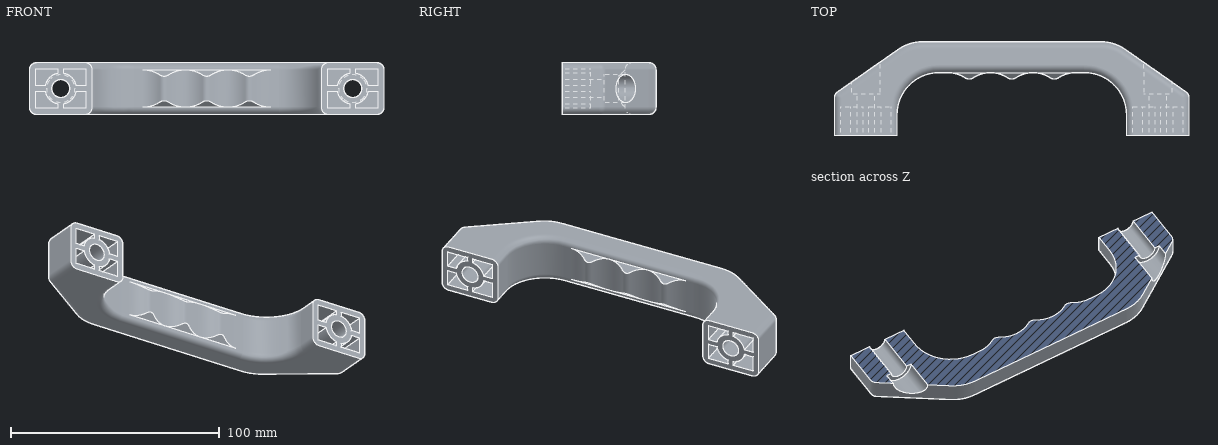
import cadquery as cq
import math

length = 170.0
depth = 45.0
height = 25.0
foot_width = 30.1
bar_thickness = 15.0

shoulder_height = 19.9
shoulder_angle = 35.0
bend_radius = 20.0
edge_radius = 3.5

hole_diameter = 8.5
counterbore_diameter = 13.5
counterbore_floor = shoulder_height

wall = 3.0
rib = 2.7
hub_diameter = 15.0
hollow_depth = 13.6

ridge_count = 3
ridge_pitch = 20.4
valley_radius = 15.0
crest_radius = 3.5

half_length = length / 2
half_opening = half_length - foot_width
half_bar = half_length - (depth - shoulder_height) / math.tan(math.radians(shoulder_angle))
bar_underside = depth - bar_thickness
foot_centers = [side * (half_length - foot_width / 2) for side in (-1, 1)]


def make_body():
    """Bridge-shaped bar with rounded bends and rounded long edges."""
    body = (
        cq.Workplane("XY")
        .workplane(offset=-height / 2)
        .moveTo(-half_length, 0)
        .lineTo(-half_length, shoulder_height)
        .lineTo(-half_bar, depth)
        .lineTo(half_bar, depth)
        .lineTo(half_length, shoulder_height)
        .lineTo(half_length, 0)
        .lineTo(half_opening, 0)
        .lineTo(half_opening, bar_underside)
        .lineTo(-half_opening, bar_underside)
        .lineTo(-half_opening, 0)
        .close()
        .extrude(height)
    )
    bends = [
        (side * x, y, 0)
        for side in (-1, 1)
        for x, y in ((half_bar, depth), (half_opening, bar_underside))
    ]
    for bend in bends:
        body = body.edges(cq.selectors.NearestToPointSelector(bend)).fillet(bend_radius)

    tolerance = 0.2
    long_edges = body.faces("<Z or >Z").edges().vals()
    long_edges = [edge for edge in long_edges if edge.Center().y > tolerance]
    corners = [
        edge
        for edge in body.edges("|Z").vals()
        if abs(edge.Center().y - shoulder_height) < tolerance
    ]
    return body.newObject(long_edges + corners).fillet(edge_radius)


def make_ridges():
    """Row of rounded finger ridges whose ends slope in at 45 degrees."""
    half_pitch = ridge_pitch / 2
    flank_angle = math.asin(half_pitch / (valley_radius + crest_radius))
    crest_height = (valley_radius + crest_radius) * (1 - math.cos(flank_angle))
    join_x = crest_radius * math.sin(flank_angle)
    join_y = bar_underside - valley_radius * (1 - math.cos(flank_angle))
    mid_x = half_pitch - valley_radius * math.sin(flank_angle / 2)
    mid_y = bar_underside - valley_radius * (1 - math.cos(flank_angle / 2))
    root = bar_underside + edge_radius
    start = -ridge_count * half_pitch

    profile = (
        cq.Workplane("XY")
        .workplane(offset=-height / 2)
        .moveTo(start, root)
        .lineTo(start, bar_underside)
    )
    for index in range(ridge_count):
        center = start + (index + 0.5) * ridge_pitch
        profile = (
            profile.threePointArc((center - mid_x, mid_y), (center - join_x, join_y))
            .threePointArc((center, bar_underside - crest_height), (center + join_x, join_y))
            .threePointArc((center + mid_x, mid_y), (center + half_pitch, bar_underside))
        )
    ridges = profile.lineTo(-start, root).close().extrude(height)

    half_root = height / 2 - edge_radius
    half_crest = half_root - crest_height
    crest = bar_underside - crest_height
    envelope = (
        cq.Workplane("YZ")
        .polyline([
            (root, -half_root),
            (bar_underside, -half_root),
            (crest, -half_crest),
            (crest, half_crest),
            (bar_underside, half_root),
            (root, half_root),
        ])
        .close()
        .extrude(half_length, both=True)
    )
    return ridges.intersect(envelope)


def cylinder_up(x, diameter, bottom, top):
    """Cylinder along Y centred on a foot."""
    return (
        cq.Workplane("XZ", origin=(x, bottom, 0))
        .circle(diameter / 2)
        .extrude(bottom - top)
    )


def make_hollow(x):
    """Four corner hollows around the hub and the cross ribs of one foot."""
    inner_width = foot_width - 2 * wall
    inner_height = height - 2 * wall
    middle = (x, hollow_depth / 2, 0)
    hollow = cq.Workplane(origin=middle).box(inner_width, hollow_depth, inner_height)
    hollow = hollow.cut(cq.Workplane(origin=middle).box(inner_width, hollow_depth, rib))
    hollow = hollow.cut(cq.Workplane(origin=middle).box(rib, hollow_depth, inner_height))
    return hollow.cut(cylinder_up(x, hub_diameter, 0, hollow_depth))


result = make_body().union(make_ridges())
for foot_x in foot_centers:
    result = result.cut(make_hollow(foot_x))
    result = result.cut(cylinder_up(foot_x, hole_diameter, 0, depth))
    result = result.cut(cylinder_up(foot_x, counterbore_diameter, counterbore_floor, depth))